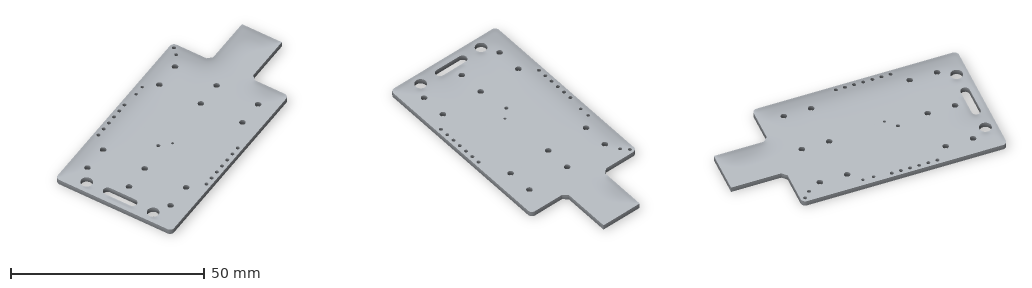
import cadquery as cq

pitch = 2.54
thickness = 1.6
body_width = 14 * pitch
body_length = 22.5 * pitch
corner_radius = pitch / 2
tab_width = 4.8 * pitch
tab_length = 6 * pitch
neck_chamfer = pitch / 2

pin_diameter = 1.02
pin_x = body_width / 2 - pitch / 2
pin_first_y = 7.5 * pitch
left_pin_count = 6
right_pin_count = 7

mount_diameter = 1.7
mount_column_spacing = 5 * pitch
mount_row_spacing = 3 * pitch
lower_mount_y = 3 * pitch
upper_mount_y = 16.8 * pitch

pair_diameter = 0.9
pair_x = -16.0
pair_low_y = 36.6
pair_spacing = 3.0

corner_hole_diameter = 1.02
corner_hole_inset = pitch / 2
corner_hole_step = 1.8

centre_large_diameter = 1.05
centre_small_diameter = 0.75
centre_y = 10 * pitch
centre_offset = 1.35

strap_hole_y = 1.25 * pitch
slot_y = 1.3 * pitch
strap_hole_diameter = 3.3
strap_hole_x = 4 * pitch
slot_length = 4 * pitch
slot_width = 2.5


def make_board():
    """Rounded plate with a narrower tab that flares out through bevels where it meets the plate."""
    body = (
        cq.Workplane("XY")
        .rect(body_width, body_length)
        .extrude(thickness)
        .edges("|Z")
        .fillet(corner_radius)
        .translate((0, body_length / 2, 0))
    )
    half_tab = tab_width / 2
    half_neck = half_tab + neck_chamfer
    bevel_end_y = body_length + neck_chamfer
    tab_end_y = body_length + tab_length
    tab_outline = [
        (-half_neck, body_length),
        (half_neck, body_length),
        (half_tab, bevel_end_y),
        (half_tab, tab_end_y),
        (-half_tab, tab_end_y),
        (-half_tab, bevel_end_y),
    ]
    tab = cq.Workplane("XY").polyline(tab_outline).close().extrude(thickness)
    return body.union(tab).clean()


def drill(board, points, diameter):
    """Cut a round hole right through the board at each point."""
    holes = cq.Workplane("XY").pushPoints(points).circle(diameter / 2).extrude(thickness)
    return board.cut(holes)


def pin_column(x, count):
    """Centres of a column of pin holes, upward from the first one."""
    return [(x, pin_first_y + i * pitch) for i in range(count)]


def mount_group(bottom_y):
    """Centres of a group of mounting holes whose lower row lies at bottom_y."""
    return [
        (column * mount_column_spacing, bottom_y + row * mount_row_spacing)
        for column in (-1, 0, 1)
        for row in (0, 1)
    ]


def cut_slot(board):
    """Cut the round-ended strap slot through the board."""
    slot = cq.Workplane("XY").center(0, slot_y).slot2D(slot_length, slot_width).extrude(thickness)
    return board.cut(slot)


def corner_holes():
    """Centres of the corner holes, stepping diagonally in from the corner."""
    start_x = -body_width / 2 + corner_hole_inset
    start_y = body_length - corner_hole_inset
    return [(start_x + i * corner_hole_step, start_y - i * corner_hole_step) for i in (0, 1)]


pair_holes = [(pair_x, pair_low_y), (pair_x, pair_low_y + pair_spacing)]

result = make_board()
result = drill(result, pin_column(-pin_x, left_pin_count), pin_diameter)
result = drill(result, pin_column(pin_x, right_pin_count), pin_diameter)
result = drill(result, mount_group(lower_mount_y) + mount_group(upper_mount_y), mount_diameter)
result = drill(result, pair_holes, pair_diameter)
result = drill(result, corner_holes(), corner_hole_diameter)
result = drill(result, [(-centre_offset, centre_y - centre_offset)], centre_large_diameter)
result = drill(result, [(centre_offset, centre_y + centre_offset)], centre_small_diameter)
result = drill(result, [(-strap_hole_x, strap_hole_y), (strap_hole_x, strap_hole_y)], strap_hole_diameter)
result = cut_slot(result)